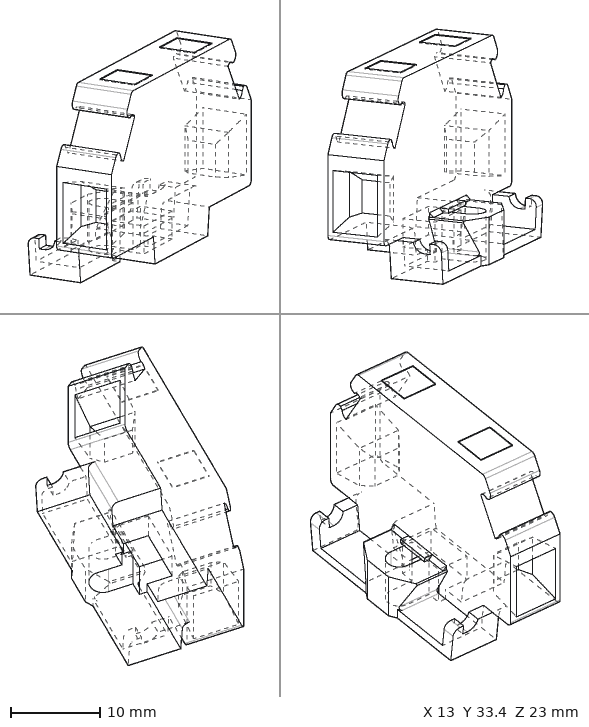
import cadquery as cq
import math


SLOPE = math.radians(60)

body_x0 = 6.0
body_x1 = 13.0
body_half_length = 16.7
body_bottom = 4.6
body_top = 23.0
bottom_fillet = 0.6

top_edge_radius = 0.6
lip_y, lip_z, lip_radius = 12.22, 20.8, 0.77
undercut_peak_y, undercut_peak_z = 11.8, 20.25
undercut_end_y, undercut_end_z = 11.15, 19.9

hump_y, hump_z, hump_radius = 15.05, 15.9, 0.75
hump_end_y, hump_end_z = 14.83, 16.6
hollow_start_y, hollow_start_z = 14.53, 16.2
hollow_mid_y, hollow_mid_z = 14.3, 15.65
hollow_end_y, hollow_end_z = 13.83, 15.35

window_x0, window_length_x = 7.5, 4.45
window_y, window_length_y = 7.1, 4.2
window_depth = 0.1

entry_x0, entry_x1 = 6.85, 12.35
entry_z0, entry_z1 = 5.65, 12.75
mouth_depth, mouth_z0, mouth_z1 = 4.28, 6.48, 11.75
funnel_depth = 1.4
funnel_x0, funnel_x1 = 7.98, 11.42
funnel_z0 = mouth_z0 + funnel_depth * (mouth_z0 - entry_z0) / mouth_depth
funnel_z1 = 10.6

foot_x0, foot_x1 = 0.55, 6.98
foot_half_bottom, foot_half_top = 12.8, 13.33
foot_wall = 1.67
foot_floor = 1.25
foot_corner_radius = 0.9
foot_root_radius = 0.85
notch_x0, notch_z = 1.95, 3.37
notch_round_x, notch_radius = 2.55, 1.45

block_bottom = 1.35
block_half_width = 6.68

boss_top = 5.5
boss_edge_z = 5.3
boss_half_top, boss_half_edge = 4.85, 4.98
boss_half_front = 1.97
boss_neck_half, boss_neck_z = 3.1, 1.67
boss_root_half, boss_root_radius = 3.37, 0.3
slot_round_x, slot_radius = 3.0, 1.57
bevel = 0.5
tab_x0, tab_half_width = 4.88, 2.2

relief_x1, relief_half_width = 10.02, 3.35

foot_lean = (foot_half_top - foot_half_bottom) / body_bottom


def both_ends(feature):
    """Return the feature together with its mirror image across the XZ plane."""
    return feature.union(feature.mirror("XZ"))


def box(x0, x1, half_width, z0, z1):
    """Box between two X and two Z levels, centred on Y."""
    corner = cq.Workplane("XY", origin=(x0, 0, z0))
    return corner.box(x1 - x0, 2 * half_width, z1 - z0, centered=(False, True, False))


def symmetric_prism(half_outline, x0, x1):
    """Prism along X from (y, z) points running bottom to top on the +Y side."""
    other_half = [(-y, z) for y, z in reversed(half_outline)]
    outline = cq.Workplane("YZ", origin=(x0, 0, 0)).polyline(half_outline + other_half)
    return outline.close().extrude(x1 - x0)


def rectangle(x0, x1, z0, z1):
    return [(x0, z0), (x1, z0), (x1, z1), (x0, z1)]


def on_circle(across, z, radius, angle):
    return (across + radius * math.cos(angle), z + radius * math.sin(angle))


def make_body():
    slope_normal = math.pi / 2 - SLOPE
    corner_z = hump_z + hump_radius / math.sin(slope_normal) - (body_half_length - hump_y) * math.tan(SLOPE)
    slope_foot_y, slope_foot_z = on_circle(lip_y, lip_z, lip_radius, slope_normal)
    top_corner_y = slope_foot_y - (body_top - slope_foot_z) / math.tan(SLOPE)
    top_tangent = top_edge_radius * math.tan(SLOPE / 2)
    half = (
        cq.Workplane("YZ", origin=(body_x0, 0, 0))
        .moveTo(0, body_bottom)
        .lineTo(body_half_length - bottom_fillet, body_bottom)
        .radiusArc((body_half_length, body_bottom + bottom_fillet), -bottom_fillet)
        .lineTo(body_half_length, corner_z)
        .lineTo(*on_circle(hump_y, hump_z, hump_radius, slope_normal))
        .threePointArc((hump_y, hump_z + hump_radius), (hump_end_y, hump_end_z))
        .lineTo(hollow_start_y, hollow_start_z)
        .threePointArc((hollow_mid_y, hollow_mid_z), (hollow_end_y, hollow_end_z))
        .lineTo(undercut_end_y, undercut_end_z)
        .threePointArc((undercut_peak_y, undercut_peak_z), (lip_y, lip_z - lip_radius))
        .threePointArc(on_circle(lip_y, lip_z, lip_radius, -math.pi / 6), (slope_foot_y, slope_foot_z))
        .lineTo(top_corner_y + top_tangent * math.cos(SLOPE), body_top - top_tangent * math.sin(SLOPE))
        .radiusArc((top_corner_y - top_tangent, body_top), -top_edge_radius)
        .lineTo(0, body_top)
        .close()
        .extrude(body_x1 - body_x0)
    )
    return both_ends(half)


def make_windows():
    window_x1 = window_x0 + window_length_x
    window = box(window_x0, window_x1, window_length_y / 2, body_top - window_depth, body_top)
    return both_ends(window.translate((0, window_y, 0)))


def make_wire_entries():
    end_y = -body_half_length
    mouth_y = end_y + mouth_depth
    mouth = (
        cq.Workplane("YZ", origin=(entry_x0, 0, 0))
        .polyline([(end_y, entry_z0), (mouth_y, mouth_z0), (mouth_y, mouth_z1), (end_y, entry_z1)])
        .close()
        .extrude(entry_x1 - entry_x0)
    )
    funnel = (
        cq.Workplane("XZ", origin=(0, mouth_y, 0))
        .polyline(rectangle(entry_x0, entry_x1, mouth_z0, mouth_z1))
        .close()
        .workplane(offset=-funnel_depth)
        .polyline(rectangle(funnel_x0, funnel_x1, funnel_z0, funnel_z1))
        .close()
        .loft(ruled=True)
    )
    return both_ends(mouth.union(funnel))


def make_foot():
    root_x = foot_x1 + foot_root_radius
    outside = symmetric_prism([(foot_half_bottom, 0), (foot_half_top, body_bottom)], foot_x0, root_x)
    inner_half_top = foot_half_top - foot_wall
    inner_half_floor = inner_half_top - foot_lean * (body_bottom - foot_floor)
    channel = symmetric_prism(
        [(inner_half_floor, foot_floor), (inner_half_top, body_bottom)], foot_x0, body_x0
    )

    notch_round_z = notch_z + notch_radius
    notch_end_angle = math.asin((body_bottom - notch_round_z) / notch_radius)
    notch_mid_angle = (notch_end_angle - math.pi / 2) / 2
    side = (
        cq.Workplane("XZ", origin=(0, body_half_length, 0))
        .moveTo(foot_x0, 0)
        .lineTo(foot_x0, body_bottom - foot_corner_radius)
        .radiusArc((foot_x0 + foot_corner_radius, body_bottom), foot_corner_radius)
        .lineTo(notch_x0, body_bottom)
        .lineTo(notch_x0, notch_z)
        .lineTo(notch_round_x, notch_z)
        .threePointArc(
            on_circle(notch_round_x, notch_round_z, notch_radius, notch_mid_angle),
            on_circle(notch_round_x, notch_round_z, notch_radius, notch_end_angle),
        )
        .lineTo(root_x, body_bottom)
        .radiusArc((foot_x1, body_bottom - foot_root_radius), -foot_root_radius)
        .lineTo(foot_x1, 0)
        .close()
        .extrude(2 * body_half_length)
    )
    return outside.cut(channel).intersect(side)


def make_block():
    half_bottom = block_half_width - foot_lean * (body_bottom - block_bottom)
    return symmetric_prism([(half_bottom, block_bottom), (block_half_width, body_bottom)], foot_x1, body_x1)


def make_boss():
    flank = (
        cq.Workplane("YZ")
        .lineTo(boss_root_half, 0)
        .lineTo(boss_root_half, foot_floor)
        .radiusArc((boss_neck_half, boss_neck_z), boss_root_radius)
        .lineTo(boss_half_edge, boss_edge_z)
        .lineTo(boss_half_top, boss_top)
        .lineTo(0, boss_top)
        .close()
        .extrude(body_x0)
    )
    corner_x = (boss_half_edge - boss_half_front) / math.tan(SLOPE)
    plan = (
        cq.Workplane("XY")
        .polyline(
            [
                (0, -boss_half_front),
                (corner_x, -boss_half_edge),
                (body_x0, -boss_half_edge),
                (body_x0, boss_half_edge),
                (corner_x, boss_half_edge),
                (0, boss_half_front),
            ]
        )
        .close()
        .extrude(boss_top)
    )
    strip = (
        cq.Workplane("XZ", origin=(0, boss_half_top, 0))
        .polyline([(body_x0 - bevel, boss_top), (body_x0, boss_top), (body_x0, boss_top + bevel)])
        .close()
        .extrude(2 * boss_half_top)
    )
    return both_ends(flank).intersect(plan).union(strip)


def make_slot():
    straight = box(slot_round_x, relief_x1, slot_radius, 0, boss_top)
    round_end = cq.Workplane("XY").center(slot_round_x, 0).circle(slot_radius).extrude(boss_top)
    return straight.union(round_end)


foot = make_foot().union(make_block()).union(make_boss())
foot = foot.cut(make_slot()).cut(box(body_x0, relief_x1, relief_half_width, 0, body_bottom))
tab = box(tab_x0, body_x0, tab_half_width, boss_top, boss_top + bevel)
body = make_body().cut(make_windows()).cut(make_wire_entries())

result = body.union(foot).union(tab)